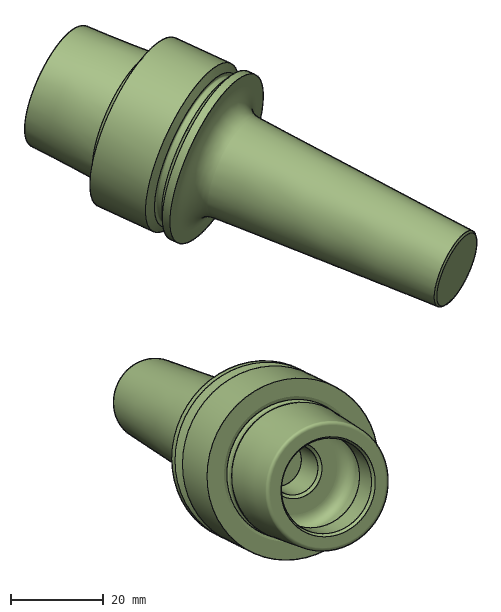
import cadquery as cq
import math

overall_length = 100.0

shank_length = 20.0
shank_front_radius = 14.3
shank_taper = 0.05
shank_edge_round = 0.8
taper_end_x = 17.8

neck_start_x = 18.7
neck_radius = 14.8
undercut_depth = 0.2
undercut_round = 0.5
undercut_outer_radius = 16.0

collar_radius = 20.0
collar_end_x = 40.0
groove_center_x = 36.0
groove_mouth_half_width = 2.1
groove_floor_half_width = 0.9
groove_wall_radius = 18.2
groove_floor_radius = 17.3
groove_corner_round = 0.3

nose_end_radius = 9.0
nose_half_angle = math.radians(3.0)
nose_fillet = 5.0
nose_chamfer = 0.4

lip_radius = 10.5
lip_mouth_radius = 11.0
lip_mouth_length = 0.9
lip_length = 7.7
recess_radius = 12.8
recess_end_x = 18.5
recess_fillet = 3.0
pilot_radius = 5.5
pilot_mouth_radius = 6.2
pilot_mouth_chamfer = 0.6
pilot_depth = 10.0


def shank_radius(x):
    """Outer radius of the taper shank."""
    return shank_front_radius + shank_taper * (x - shank_edge_round)


def nose_radius(x):
    """Outer radius of the nose cone."""
    return nose_end_radius + (overall_length - x) * math.tan(nose_half_angle)


def arc_middle(center_x, center_radius, radius, start_angle, end_angle):
    """Point halfway along an arc, angles in radians from the X axis."""
    angle = (start_angle + end_angle) / 2
    return (center_x + radius * math.cos(angle), center_radius + radius * math.sin(angle))


def make_body():
    """Solid of revolution for the whole outside, gripper groove left out."""
    round_top_angle = math.pi / 2 + math.atan(shank_taper)
    round_center_radius = shank_front_radius - shank_edge_round
    round_end_x = shank_edge_round + shank_edge_round * math.cos(round_top_angle)

    undercut_floor_x = shank_length + undercut_depth
    undercut_round_x = undercut_floor_x - undercut_round
    undercut_round_radius = neck_radius + undercut_round

    fillet_center_x = collar_end_x + nose_fillet
    fillet_center_radius = nose_radius(fillet_center_x) + nose_fillet / math.cos(nose_half_angle)
    fillet_end_angle = 1.5 * math.pi - nose_half_angle
    fillet_end_x = fillet_center_x + nose_fillet * math.cos(fillet_end_angle)
    chamfer_x = overall_length - nose_chamfer

    profile = (
        cq.Workplane("XY")
        .moveTo(0, 0)
        .lineTo(0, round_center_radius)
        .threePointArc(
            arc_middle(shank_edge_round, round_center_radius, shank_edge_round, math.pi, round_top_angle),
            (round_end_x, shank_radius(round_end_x)),
        )
        .lineTo(taper_end_x, shank_radius(taper_end_x))
        .lineTo(neck_start_x, neck_radius)
        .lineTo(undercut_round_x, neck_radius)
        .threePointArc(
            arc_middle(undercut_round_x, undercut_round_radius, undercut_round, -math.pi / 2, 0),
            (undercut_floor_x, undercut_round_radius),
        )
        .lineTo(shank_length, undercut_outer_radius)
        .lineTo(shank_length, collar_radius)
        .lineTo(collar_end_x, collar_radius)
        .lineTo(collar_end_x, fillet_center_radius)
        .threePointArc(
            arc_middle(fillet_center_x, fillet_center_radius, nose_fillet, math.pi, fillet_end_angle),
            (fillet_end_x, nose_radius(fillet_end_x)),
        )
        .lineTo(chamfer_x, nose_radius(chamfer_x))
        .lineTo(overall_length, nose_end_radius - nose_chamfer)
        .lineTo(overall_length, 0)
        .close()
    )
    return profile.revolve(360, (0, 0, 0), (1, 0, 0))


def make_groove():
    """Ring cut out of the collar: sloped mouth, straight walls, rounded floor corners."""
    corner_half_width = groove_floor_half_width - groove_corner_round
    corner_radius = groove_floor_radius + groove_corner_round
    profile = (
        cq.Workplane("XY", origin=(groove_center_x, 0, 0))
        .moveTo(-groove_mouth_half_width, collar_radius)
        .lineTo(-groove_floor_half_width, groove_wall_radius)
        .lineTo(-groove_floor_half_width, corner_radius)
        .threePointArc(
            arc_middle(-corner_half_width, corner_radius, groove_corner_round, math.pi, 1.5 * math.pi),
            (-corner_half_width, groove_floor_radius),
        )
        .lineTo(corner_half_width, groove_floor_radius)
        .threePointArc(
            arc_middle(corner_half_width, corner_radius, groove_corner_round, -math.pi / 2, 0),
            (groove_floor_half_width, corner_radius),
        )
        .lineTo(groove_floor_half_width, groove_wall_radius)
        .lineTo(groove_mouth_half_width, collar_radius)
        .close()
    )
    return profile.revolve(360, (0, 0, 0), (1, 0, 0))


def make_bore():
    """Stepped bore entering from the shank face, its recess rounded into the floor."""
    pilot_end_x = recess_end_x + pilot_depth
    fillet_start_x = recess_end_x - recess_fillet
    recess_floor_radius = recess_radius - recess_fillet
    profile = (
        cq.Workplane("XY")
        .moveTo(0, 0)
        .lineTo(0, lip_mouth_radius)
        .lineTo(lip_mouth_length, lip_radius)
        .lineTo(lip_length, lip_radius)
        .lineTo(lip_length, recess_radius)
        .lineTo(fillet_start_x, recess_radius)
        .threePointArc(
            arc_middle(fillet_start_x, recess_floor_radius, recess_fillet, 0, math.pi / 2),
            (recess_end_x, recess_floor_radius),
        )
        .lineTo(recess_end_x, pilot_mouth_radius)
        .lineTo(recess_end_x + pilot_mouth_chamfer, pilot_radius)
        .lineTo(pilot_end_x, pilot_radius)
        .lineTo(pilot_end_x, 0)
        .close()
    )
    return profile.revolve(360, (0, 0, 0), (1, 0, 0))


result = make_body().cut(make_groove()).cut(make_bore())